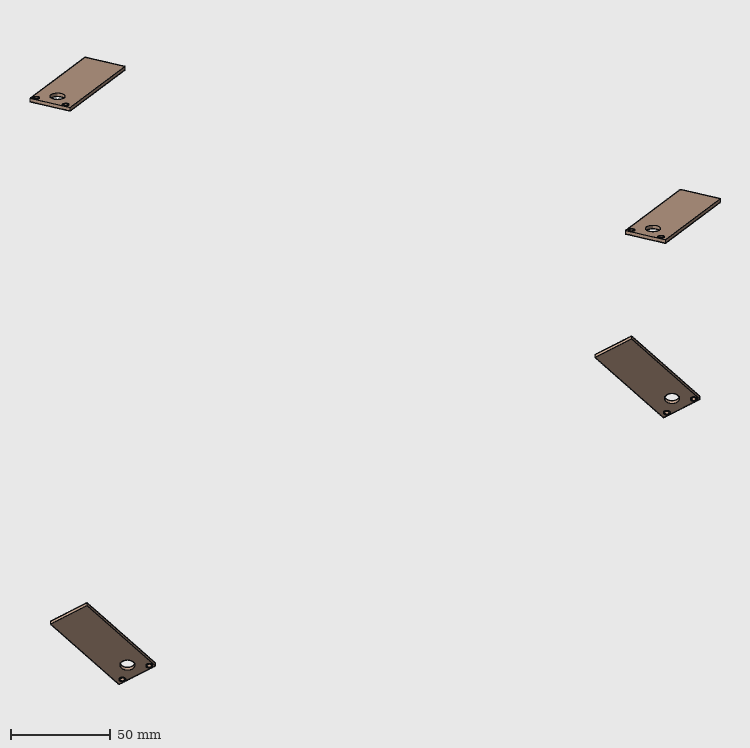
import cadquery as cq

OVERALL_X = 362.24
OVERALL_Y = 62.94

PLATE_WIDTH = 23.1
PLATE_LENGTH = 57.0
THICKNESS = 2.0

MAIN_HOLE_DIAMETER = 7.5
MAIN_HOLE_X = 10.9
MAIN_HOLE_Y = 9.0

BUSHING_OUTER_DIAMETER = 3.5
BUSHING_BORE_DIAMETER = 2.2
BUSHING_SPACING = 17.0
BUSHING_Y = 2.1
BUSHING_CENTRES = [(MAIN_HOLE_X + side * BUSHING_SPACING / 2, BUSHING_Y) for side in (-1, 1)]

PLATE_CORNERS = [(0, 0), (OVERALL_X - PLATE_WIDTH, OVERALL_Y - PLATE_LENGTH)]


def cylinders(centres, diameter):
    """Full-thickness cylinders standing on the bottom plane."""
    return cq.Workplane("XY").pushPoints(centres).circle(diameter / 2).extrude(THICKNESS)


def make_plate():
    """Rectangular plate with the large hole and a seat for each bushing."""
    blank = cq.Workplane("XY").rect(PLATE_WIDTH, PLATE_LENGTH, centered=False).extrude(THICKNESS)
    main_hole = cylinders([(MAIN_HOLE_X, MAIN_HOLE_Y)], MAIN_HOLE_DIAMETER)
    bushing_seats = cylinders(BUSHING_CENTRES, BUSHING_OUTER_DIAMETER)
    return blank.cut(main_hole).cut(bushing_seats)


def make_bushing(centre):
    """Ring that fills its seat and has a through bore."""
    body = cylinders([centre], BUSHING_OUTER_DIAMETER)
    bore = cylinders([centre], BUSHING_BORE_DIAMETER)
    return body.cut(bore)


bodies = []
for corner_x, corner_y in PLATE_CORNERS:
    corner = (corner_x, corner_y, 0)
    bodies.append(make_plate().translate(corner).val())
    for bushing_centre in BUSHING_CENTRES:
        bodies.append(make_bushing(bushing_centre).translate(corner).val())

result = cq.Compound.makeCompound(bodies)